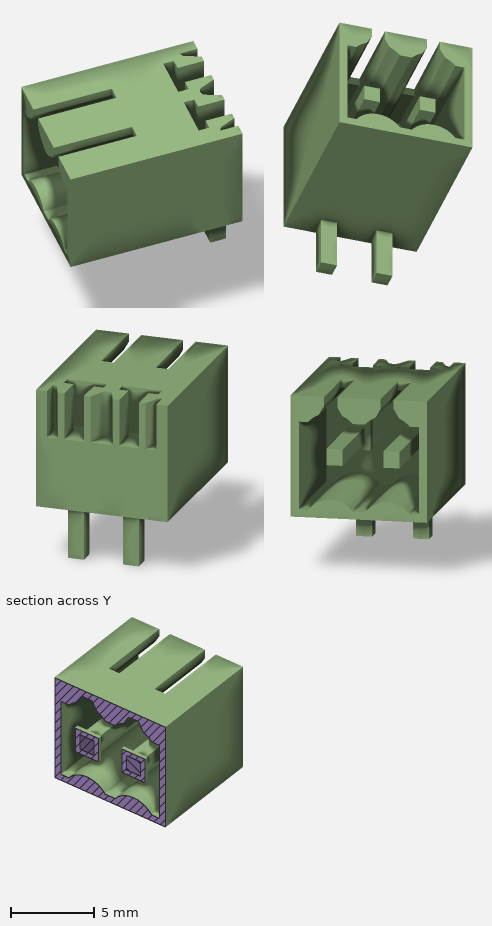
import cadquery as cq
import math


width = 8.4
length = 11.05
height = 7.46
wall = 0.51
floor_thickness = 0.48
roof_thickness = 1.59
cavity_depth = 7.96

pole_count = 2
pitch = 3.5

arc_half_chord = 1.37
ridge_rise = 0.67
roof_groove_rise = 0.62

channel_side = 0.73
channel_cover = 0.51
slot_pitch = 3.46
slot_width = 0.81
slot_length = 5.03

pin_size = 1.01
pin_axis_z = 3.5
pin_front_gap = 1.18
pin_rear_gap = 0.34
leg_length = 3.19

collar_size = 1.78
collar_depth = 0.5

rear_floor_z = pin_axis_z + pin_size / 2 + wall

stem_width = 1.27
stem_length = 1.7
bar_width = 2.54
bar_length = 0.67

groove_half_width = 0.71
groove_depth = 1.14
groove_tip_radius = 0.35
groove_limit = 3.48


def row_positions(count, spacing):
    """X positions of evenly spaced items, symmetric about the middle of the housing."""
    return [(i - (count - 1) / 2) * spacing for i in range(count)]


pole_positions = row_positions(pole_count, pitch)
slot_positions = row_positions(pole_count, slot_pitch)
groove_positions = row_positions(pole_count + 1, pitch)


def block(x_size, y_start, y_end, z_start, z_end, x_center=0.0):
    """Box centred on x_center, spanning the given Y and Z ranges."""
    return (
        cq.Workplane("XY")
        .box(x_size, y_end - y_start, z_end - z_start, centered=(True, False, False))
        .translate((x_center, y_start, z_start))
    )


def arc_bar(x_center, base_z, rise):
    """Bar along the cavity whose section is a shallow arc of the given rise above base_z."""
    return (
        cq.Workplane("XZ")
        .moveTo(x_center - arc_half_chord, base_z)
        .threePointArc((x_center, base_z + rise), (x_center + arc_half_chord, base_z))
        .close()
        .extrude(-cavity_depth)
    )


def roof_channel(x_center):
    """Half-hexagon channel along the cavity, leaving channel_cover of material above it."""
    top_z = height - channel_cover
    base_z = top_z - channel_side * math.sin(math.radians(60))
    return (
        cq.Workplane("XZ")
        .moveTo(x_center - channel_side, base_z)
        .lineTo(x_center - channel_side / 2, top_z)
        .lineTo(x_center + channel_side / 2, top_z)
        .lineTo(x_center + channel_side, base_z)
        .close()
        .extrude(-cavity_depth)
    )


def cavity():
    """Space open to the front, with roof grooves and floor ridges in line with the pins."""
    roof_z = height - roof_thickness
    space = block(width - 2 * wall, 0, cavity_depth, floor_thickness, roof_z)
    for x in pole_positions:
        space = space.union(arc_bar(x, roof_z, roof_groove_rise)).union(roof_channel(x))
        space = space.cut(arc_bar(x, floor_thickness, ridge_rise))
    return space


def top_slot(x_center):
    """Slot from the mating face through the roof into the channel."""
    return block(slot_width, 0, slot_length, height - roof_thickness, height, x_center)


def collar(x_center):
    """Square boss that surrounds a pin on the end wall of the cavity."""
    half = collar_size / 2
    return block(
        collar_size, cavity_depth - collar_depth, cavity_depth, pin_axis_z - half, pin_axis_z + half, x_center
    )


def tee_pocket(x_center):
    """T-shaped pocket, open to the top and to the rear."""
    bar_rear = length - stem_length
    stem = block(stem_width, bar_rear, length, rear_floor_z, height, x_center)
    bar = block(bar_width, bar_rear - bar_length, bar_rear, rear_floor_z, height, x_center)
    return stem.union(bar)


def rear_groove(x_center):
    """V groove, open to the top and to the rear, whose straight flanks are tangent to a round tip."""
    tip_center_y = length - groove_depth + groove_tip_radius
    rise = length - tip_center_y
    mouth_distance = math.hypot(groove_half_width, rise)
    angle = math.atan2(rise, groove_half_width) - math.acos(groove_tip_radius / mouth_distance)
    tangent_x = groove_tip_radius * math.cos(angle)
    tangent_y = tip_center_y + groove_tip_radius * math.sin(angle)
    return (
        cq.Workplane("XY", origin=(0, 0, rear_floor_z))
        .moveTo(x_center - groove_half_width, length)
        .lineTo(x_center - tangent_x, tangent_y)
        .threePointArc((x_center, length - groove_depth), (x_center + tangent_x, tangent_y))
        .lineTo(x_center + groove_half_width, length)
        .close()
        .extrude(height - rear_floor_z)
    )


def make_pin(x_center):
    """Square pin with a horizontal contact and a leg going down at the rear."""
    half = pin_size / 2
    rear = length - pin_rear_gap
    contact = block(pin_size, pin_front_gap, rear, pin_axis_z - half, pin_axis_z + half, x_center)
    leg = block(pin_size, rear - pin_size, rear, -leg_length, pin_axis_z, x_center)
    return contact.union(leg).clean()


def make_housing(pins):
    """Shell with its cavity, slots, pockets and grooves, and a hole to fit each pin."""
    body = block(width, 0, length, 0, height).cut(cavity())
    for x in slot_positions:
        body = body.cut(top_slot(x))
    for x in pole_positions:
        body = body.union(collar(x)).cut(tee_pocket(x))
    groove_zone = block(2 * groove_limit, 0, length, 0, height)
    for x in groove_positions:
        body = body.cut(rear_groove(x).intersect(groove_zone))
    for pin in pins:
        body = body.cut(pin)
    return body


pins = [make_pin(x) for x in pole_positions]
housing = make_housing(pins)

result = cq.Compound.makeCompound([housing.val(), *[pin.val() for pin in pins]])